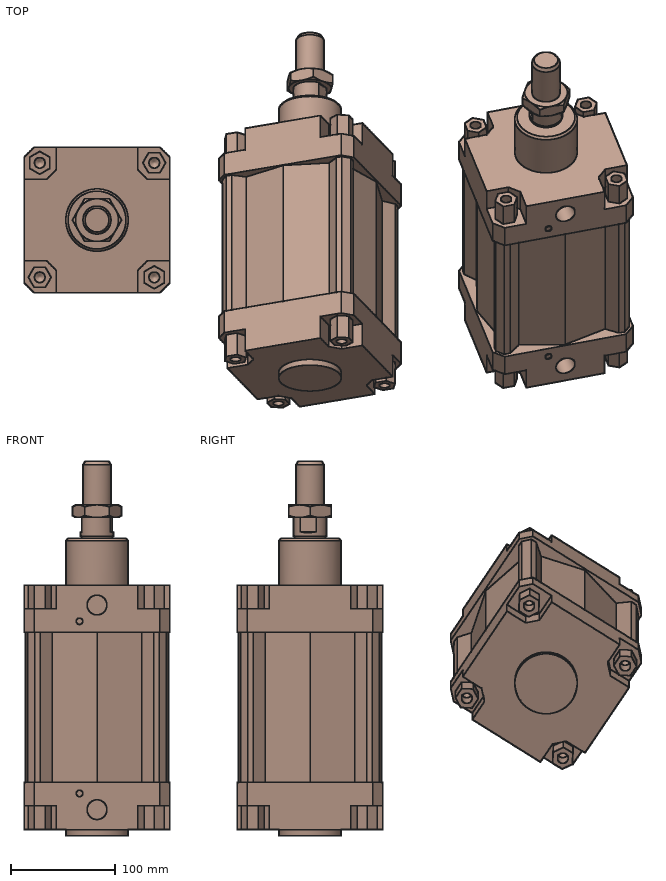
import cadquery as cq
import math

total_height = 360.0

cap_width = 140.0
cap_height = 45.5
cap_corner_chamfer = 9.5
bottom_collar_height = 6.0
caps_overall_length = 235.0
collar_diameter = 60.0
top_collar_height = 45.0
top_collar_chamfer = 2.2

notch_depth = cap_height / 2
notch_size = 31.0
notch_chamfer = 9.5
tie_rod_spacing = 110.0
tie_nut_across_flats = 19.0
tie_hole_diameter = 10.2
tie_hole_depth = 20.0
drill_point_angle = 118.0

ridge_reach = 68.75
post_outer = 66.6
post_chamfer = 6.6
post_land_start = 54.3
post_root = 43.0
post_root_reach = 57.5

port_diameter = 19.0
port_depth = 20.0
port_from_cap_end = 19.2
screw_diameter = 6.2
screw_depth = 1.0
screw_x = -16.8
screw_from_cap_end = 34.8

thread_diameter = 27.0
thread_length = 54.0
thread_chamfer_height = 3.5
thread_chamfer_depth = 2.0
rod_diameter = 32.0
neck_diameter = 30.0
neck_height = 2.0
wrench_flats = 28.0
wrench_flat_bottom = 6.3
wrench_flat_runout = 1.0
rod_turn = -7.0

nut_across_flats = 41.0
nut_height = 12.0
nut_chamfer_angle = 30.0

cap_bottom = bottom_collar_height
cap_top = cap_bottom + caps_overall_length
collar_top = cap_top + top_collar_height
middle = (cap_bottom + cap_top) / 2
thread_start = total_height - thread_length


def hexagon_diameter(across_flats):
    """Diameter across the corners of a hexagon."""
    return across_flats / math.cos(math.pi / 6)


def make_tie_nut():
    """Hexagonal nut that fills the height of a corner notch."""
    start = cap_top - notch_depth
    nut = (
        cq.Workplane("XY", origin=(0, 0, start))
        .polygon(6, hexagon_diameter(tie_nut_across_flats))
        .extrude(notch_depth)
    )
    return nut


def make_tie_hole():
    """Blind drilled hole with a conical floor, opening at the cap end."""
    radius = tie_hole_diameter / 2
    floor = cap_top - tie_hole_depth
    tip = floor - radius / math.tan(math.radians(drill_point_angle / 2))
    return (
        cq.Workplane("XZ")
        .polyline([(0, cap_top), (radius, cap_top), (radius, floor), (0, tip)])
        .close()
        .revolve(360, (0, 0, 0), (0, 1, 0))
    )


def make_corner_notch():
    """Square corner cutter with its inner corner chamfered."""
    centre = (cap_width - notch_size) / 2
    return (
        cq.Workplane("XY", origin=(centre, centre, cap_top - notch_depth))
        .rect(notch_size, notch_size)
        .extrude(notch_depth)
        .edges("|Z and <X and <Y")
        .chamfer(notch_chamfer)
    )


def make_front_recess(x, z, diameter, depth):
    """Round cutter going inward from the front face."""
    return (
        cq.Workplane("XZ", origin=(x, -cap_width / 2, z))
        .circle(diameter / 2)
        .extrude(-depth)
    )


def make_top_cap():
    """Top cap with corner nuts, air port and cushion screw recess."""
    cap = (
        cq.Workplane("XY", origin=(0, 0, cap_top - cap_height))
        .rect(cap_width, cap_width)
        .extrude(cap_height)
        .edges("|Z")
        .chamfer(cap_corner_chamfer)
    )
    notch = make_corner_notch()
    offset = (tie_rod_spacing / 2, tie_rod_spacing / 2, 0)
    nut = make_tie_nut().translate(offset)
    hole = make_tie_hole().translate(offset)
    axis = ((0, 0, 0), (0, 0, 1))
    for quarter in range(4):
        angle = 90 * quarter
        cap = cap.cut(notch.rotate(*axis, angle))
        cap = cap.union(nut.rotate(*axis, angle))
        cap = cap.cut(hole.rotate(*axis, angle))
    port_z = cap_top - port_from_cap_end
    screw_z = cap_top - screw_from_cap_end
    cap = cap.cut(make_front_recess(0, port_z, port_diameter, port_depth))
    return cap.cut(make_front_recess(screw_x, screw_z, screw_diameter, screw_depth))


def make_barrel():
    """Barrel between the caps: ridged sides and a chamfered post at each corner."""
    post_shoulder = post_outer - post_chamfer
    quarter_outline = [
        (ridge_reach, 0),
        (post_root_reach, post_root),
        (post_outer, post_land_start),
        (post_outer, post_shoulder),
        (post_shoulder, post_outer),
        (post_land_start, post_outer),
        (post_root, post_root_reach),
    ]
    outline = []
    for quarter in range(4):
        for x, y in quarter_outline:
            outline.append((x, y))
        quarter_outline = [(-y, x) for x, y in quarter_outline]
    return (
        cq.Workplane("XY", origin=(0, 0, cap_bottom + cap_height))
        .polyline(outline)
        .close()
        .extrude(caps_overall_length - 2 * cap_height)
    )


def make_housing():
    """Both caps, the barrel and the two collars as one solid."""
    top_cap = make_top_cap()
    bottom_cap = top_cap.mirror("XY", (0, 0, middle))
    top_collar = (
        cq.Workplane("XY", origin=(0, 0, cap_top))
        .circle(collar_diameter / 2)
        .extrude(top_collar_height)
        .faces(">Z")
        .chamfer(top_collar_chamfer)
    )
    bottom_collar = cq.Workplane("XY").circle(collar_diameter / 2).extrude(bottom_collar_height)
    return make_barrel().union(top_cap).union(bottom_cap).union(top_collar).union(bottom_collar)


def make_rod():
    """Rod end standing on the top collar: neck, two wrench flats and plain thread shank."""
    rod_radius = rod_diameter / 2
    neck_radius = neck_diameter / 2
    thread_radius = thread_diameter / 2
    profile = [
        (0, collar_top),
        (neck_radius, collar_top),
        (neck_radius, collar_top + neck_height),
        (rod_radius, collar_top + neck_height),
        (rod_radius, thread_start),
        (thread_radius, thread_start),
        (thread_radius, total_height - thread_chamfer_height),
        (thread_radius - thread_chamfer_depth, total_height),
        (0, total_height),
    ]
    rod = cq.Workplane("XZ").polyline(profile).close().revolve(360, (0, 0, 0), (0, 1, 0))
    flat_reach = wrench_flats / 2
    flat_start = collar_top + wrench_flat_bottom
    flat_outline = [
        (flat_reach, thread_start),
        (flat_reach, flat_start),
        (rod_radius, flat_start - wrench_flat_runout),
        (rod_radius, thread_start),
    ]
    flat_cutter = cq.Workplane("XZ").polyline(flat_outline).close().extrude(rod_radius, both=True)
    rod = rod.cut(flat_cutter).cut(flat_cutter.mirror("YZ"))
    return rod.rotate((0, 0, 0), (0, 0, 1), rod_turn)


def make_rod_nut():
    """Hexagon nut on the thread, resting on the rod shoulder, corners chamfered."""
    corner_diameter = hexagon_diameter(nut_across_flats)
    corner_radius = corner_diameter / 2
    face_radius = nut_across_flats / 2
    chamfer_height = (corner_radius - face_radius) * math.tan(math.radians(nut_chamfer_angle))
    nut_top = thread_start + nut_height
    profile = [
        (0, thread_start),
        (face_radius, thread_start),
        (corner_radius, thread_start + chamfer_height),
        (corner_radius, nut_top - chamfer_height),
        (face_radius, nut_top),
        (0, nut_top),
    ]
    envelope = cq.Workplane("XZ").polyline(profile).close().revolve(360, (0, 0, 0), (0, 1, 0))
    return (
        cq.Workplane("XY", origin=(0, 0, thread_start))
        .polygon(6, corner_diameter)
        .extrude(nut_height)
        .intersect(envelope)
        .cut(cq.Workplane("XY").circle(thread_diameter / 2).extrude(total_height))
    )


housing = make_housing()
rod = make_rod()
rod_nut = make_rod_nut()

result = cq.Compound.makeCompound([housing.solids().val(), rod.solids().val(), rod_nut.solids().val()])